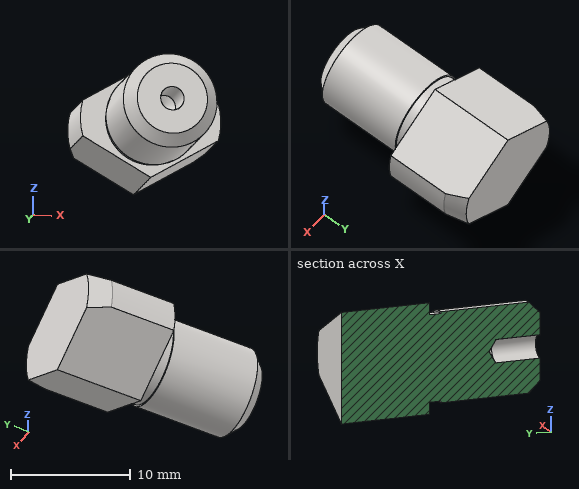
import cadquery as cq
import math

total_length = 18.0
head_length = 8.0
neck_length = 1.0
shank_length = total_length - head_length - neck_length

shank_diameter = 8.01
neck_diameter = 7.7
tip_chamfer = 1.0

head_height = 9.8
flank_angle = 30.0
head_diameter = 12.0
taper_length = 2.0
taper_angle = 15.0

hole_diameter = 2.0
hole_depth = 4.0
drill_point_angle = 118.0


def revolve_about_y(profile):
    """Revolve a list of (radius, Y) points about the Y axis."""
    return cq.Workplane("XY").polyline(profile).close().revolve(360, (0, 0, 0), (0, 1, 0))


def make_shank():
    radius = shank_diameter / 2
    neck_radius = neck_diameter / 2
    neck_end = shank_length + neck_length
    return revolve_about_y([
        (0, 0),
        (radius - tip_chamfer, 0),
        (radius, tip_chamfer),
        (radius, shank_length),
        (neck_radius, shank_length),
        (neck_radius, neck_end),
        (0, neck_end),
    ])


def make_head():
    front = total_length - head_length
    half_height = head_height / 2
    half_width = half_height / math.tan(math.radians(flank_angle))
    rhombus = (
        cq.Workplane("XZ", origin=(0, front, 0))
        .polyline([(half_width, 0), (0, half_height), (-half_width, 0), (0, -half_height)])
        .close()
        .extrude(-head_length)
    )
    radius = head_diameter / 2
    back_radius = radius - taper_length * math.tan(math.radians(taper_angle))
    envelope = revolve_about_y([
        (0, front),
        (radius, front),
        (radius, total_length - taper_length),
        (back_radius, total_length),
        (0, total_length),
    ])
    return rhombus.intersect(envelope)


def make_hole():
    radius = hole_diameter / 2
    point_length = radius / math.tan(math.radians(drill_point_angle / 2))
    return revolve_about_y([
        (0, 0),
        (radius, 0),
        (radius, hole_depth),
        (0, hole_depth + point_length),
    ])


result = make_head().union(make_shank()).cut(make_hole())